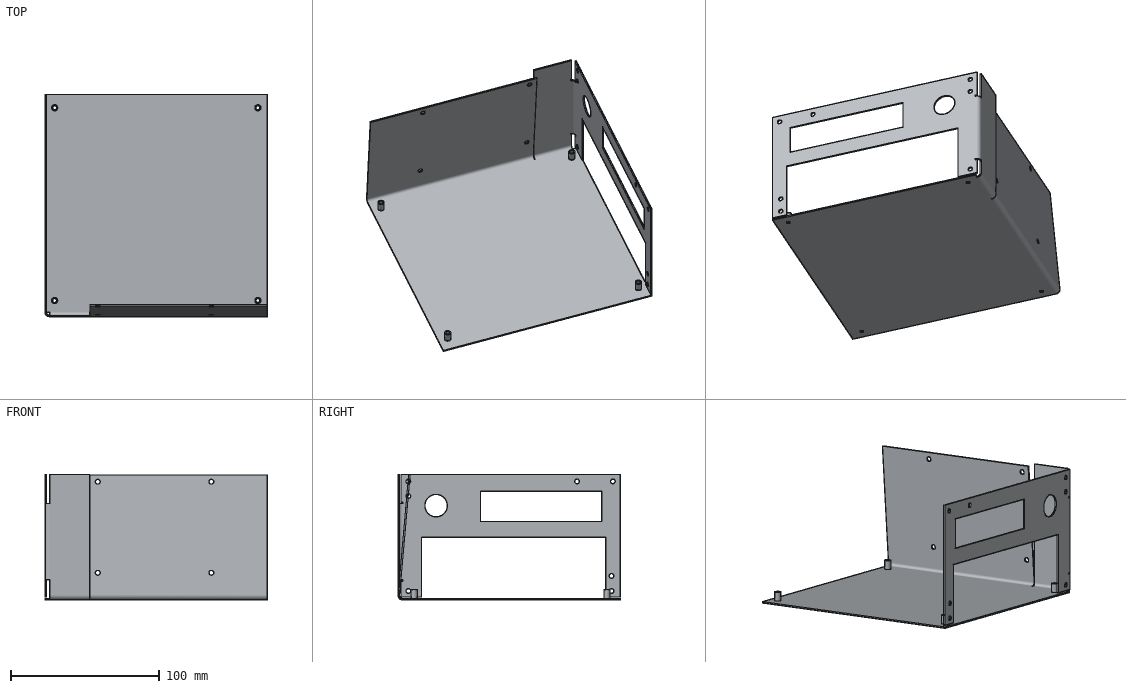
import cadquery as cq
import math

SIZE = 150.0
HEIGHT = 84.8
SHEET = 1.0
BEND = 3.0
BEND_INNER = BEND - SHEET
CUT = 0.8
CUT_REACH = 0.3
SIDE_EDGE = 2.0

UPRIGHT_END = 30.0
PANEL_GAP = 0.3
LEAN_START = UPRIGHT_END + PANEL_GAP
LEAN_ANGLE = 5.0
LEAN_LENGTH = 81.5
FRONT_HOLE_DIAMETER = 3.2
FRONT_HOLE_X = (35.5, 112.2)
FRONT_HOLE_HEIGHTS = (15.2, 76.8)

TAB_BOTTOM = 13.5
TAB_TOP = 65.1
TAB_CUT_BOTTOMS = (TAB_BOTTOM - CUT, TAB_TOP)

SIDE_HOLE_DIAMETER = 3.0
SIDE_HOLES = [
    (6.9, 80.0), (6.9, 70.0), (6.9, 6.0),
    (144.0, 6.0), (144.0, 16.2), (120.8, 80.0), (144.9, 80.0),
]
ROUND_OPENING_DIAMETER = 15.0
ROUND_OPENING = (25.6, 63.6)
WINDOW_Y = (55.6, 137.2)
WINDOW_Z = (53.0, 73.2)
LOWER_OPENING_Y = (15.9, 140.0)
LOWER_OPENING_TOP = 42.2

STANDOFF_DIAMETER = 4.2
STANDOFF_BORE = 2.5
STANDOFF_HEIGHT = 6.0
STANDOFF_INSET = 6.5
STANDOFF_X = (STANDOFF_INSET, SIZE - STANDOFF_INSET)
STANDOFF_Y = (11.0, 141.0)
STANDOFF_PLACES = [(x, y) for x in STANDOFF_X for y in STANDOFF_Y]


def block(x_range, y_range, z_range):
    """Box between the given limits."""
    size = [high - low for low, high in (x_range, y_range, z_range)]
    return cq.Workplane("XY").box(*size, centered=False).translate((x_range[0], y_range[0], z_range[0]))


def front_panel(x_start, x_end, length, lean):
    """Bend at the front of the base and the panel above it, leaning inward by an angle in degrees."""

    def point(radius, degrees, rise=0.0):
        """Point (Y, Z) around the bend axis, moved up along the panel by rise."""
        turn = math.radians(degrees)
        tilt = math.radians(lean)
        y = BEND - radius * math.cos(turn) + rise * math.sin(tilt)
        z = BEND + radius * math.sin(turn) + rise * math.cos(tilt)
        return (y, z)

    bottom = -90.0
    middle = (bottom + lean) / 2
    return (
        cq.Workplane("YZ", origin=(x_start, 0, 0))
        .moveTo(*point(BEND, bottom))
        .threePointArc(point(BEND, middle), point(BEND, lean))
        .lineTo(*point(BEND, lean, length))
        .lineTo(*point(BEND_INNER, lean, length))
        .lineTo(*point(BEND_INNER, lean))
        .threePointArc(point(BEND_INNER, middle), point(BEND_INNER, bottom))
        .close()
        .extrude(x_end - x_start)
    )


def leaning_panel():
    """Leaning front panel with its four holes square to its face."""
    holes = (
        cq.Workplane("XZ", origin=(0, BEND, BEND))
        .pushPoints([(x, rise) for x in FRONT_HOLE_X for rise in FRONT_HOLE_HEIGHTS])
        .circle(FRONT_HOLE_DIAMETER / 2)
        .extrude(2 * BEND)
        .rotate((0, BEND, BEND), (SIZE, BEND, BEND), -LEAN_ANGLE)
    )
    return front_panel(LEAN_START, SIZE, LEAN_LENGTH, LEAN_ANGLE).cut(holes)


def base_plate():
    """Flat base behind the front bends, with a relief cut between them and a hole below each standoff."""
    front_cut = block((UPRIGHT_END, LEAN_START), (0, BEND + CUT_REACH), (0, SHEET))
    plate = block((0, SIZE), (BEND, SIZE), (0, SHEET))
    holes = cq.Workplane("XY").pushPoints(STANDOFF_PLACES).circle(STANDOFF_BORE / 2).extrude(SHEET)
    return plate.cut(front_cut).cut(holes)


def side_panel():
    """Side panel with its openings, its holes and the relief cuts beside the corner tab."""
    panel = block((0, SHEET), (SIDE_EDGE, SIZE), (SIDE_EDGE, HEIGHT))
    panel = panel.cut(block((0, SHEET), (0, BEND), (TAB_BOTTOM, TAB_TOP)))
    for cut_bottom in TAB_CUT_BOTTOMS:
        panel = panel.cut(block((0, SHEET), (0, BEND + CUT_REACH), (cut_bottom, cut_bottom + CUT)))
    panel = panel.cut(block((0, SHEET), WINDOW_Y, WINDOW_Z))
    panel = panel.cut(block((0, SHEET), LOWER_OPENING_Y, (0, LOWER_OPENING_TOP)))
    holes = cq.Workplane("YZ").pushPoints(SIDE_HOLES).circle(SIDE_HOLE_DIAMETER / 2).extrude(SHEET)
    opening = cq.Workplane("YZ").center(*ROUND_OPENING).circle(ROUND_OPENING_DIAMETER / 2).extrude(SHEET)
    return panel.cut(holes).cut(opening)


def upright_panel():
    """Upright front panel with the relief cuts beside the corner tab."""
    panel = front_panel(BEND, UPRIGHT_END, HEIGHT - BEND, 0)
    for cut_bottom in TAB_CUT_BOTTOMS:
        panel = panel.cut(block((0, BEND + CUT_REACH), (0, SHEET), (cut_bottom, cut_bottom + CUT)))
    return panel


def corner_tab():
    """Quarter-round bend between the side panel and the upright front panel."""
    square = block((0, BEND), (0, BEND), (TAB_BOTTOM, TAB_TOP))
    ring = (
        cq.Workplane("XY", origin=(BEND, BEND, TAB_BOTTOM))
        .circle(BEND)
        .circle(BEND_INNER)
        .extrude(TAB_TOP - TAB_BOTTOM)
    )
    return ring.intersect(square)


def standoff(x, y):
    """Round standoff with a through bore, standing on the base."""
    return (
        cq.Workplane("XY", origin=(x, y, SHEET))
        .circle(STANDOFF_DIAMETER / 2)
        .circle(STANDOFF_BORE / 2)
        .extrude(STANDOFF_HEIGHT)
    )


chassis = (
    base_plate()
    .union(upright_panel())
    .union(leaning_panel())
    .union(corner_tab())
    .union(side_panel())
)
standoffs = [standoff(x, y).val() for x, y in STANDOFF_PLACES]

result = cq.Compound.makeCompound([chassis.val(), *standoffs])